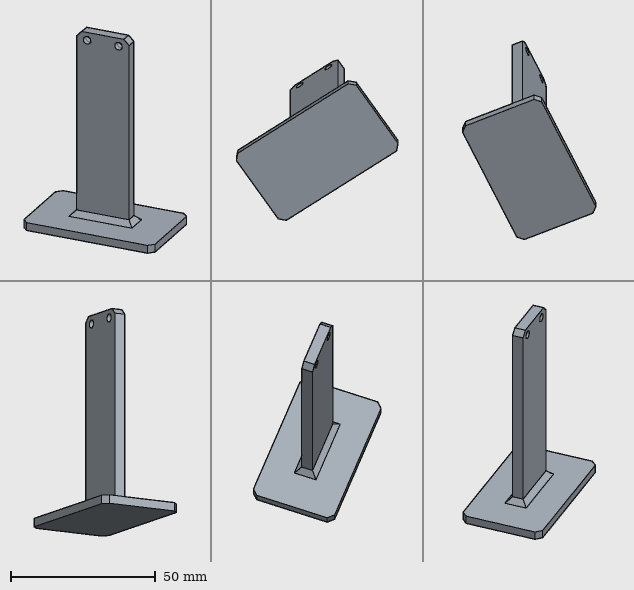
import cadquery as cq

base_length = 50.0
base_width = 30.0
base_thickness = 3.0

post_width = 20.0
post_thickness = 4.0
total_height = 73.0

corner_chamfer = 2.0
foot_flare = 2.0

hole_diameter = 2.8
hole_spacing = 12.0
hole_below_top = 3.0


def make_base():
    """Flat plate on Z = 0 with its four vertical corners cut off."""
    plate = cq.Workplane("XY").box(base_length, base_width, base_thickness, centered=(True, True, False))
    return plate.edges("|Z").chamfer(corner_chamfer)


def make_post():
    """Upright blade on the plate with its two top corners cut off."""
    post_height = total_height - base_thickness
    blade = (
        cq.Workplane("XY")
        .workplane(offset=base_thickness)
        .box(post_width, post_thickness, post_height, centered=(True, True, False))
    )
    return blade.faces(">Z").edges("|Y").chamfer(corner_chamfer)


def make_foot():
    """Tapered collar that widens the post at 45 degrees where it meets the plate."""
    return (
        cq.Workplane("XY")
        .workplane(offset=base_thickness)
        .rect(post_width + 2 * foot_flare, post_thickness + 2 * foot_flare)
        .workplane(offset=foot_flare)
        .rect(post_width, post_thickness)
        .loft(ruled=True)
    )


def make_holes():
    """Pair of round cutters that pass through the post along Y."""
    hole_height = total_height - hole_below_top
    return (
        cq.Workplane("XZ")
        .pushPoints([(side * hole_spacing / 2, hole_height) for side in (-1, 1)])
        .circle(hole_diameter / 2)
        .extrude(post_thickness, both=True)
    )


result = make_base().union(make_post()).union(make_foot()).cut(make_holes())